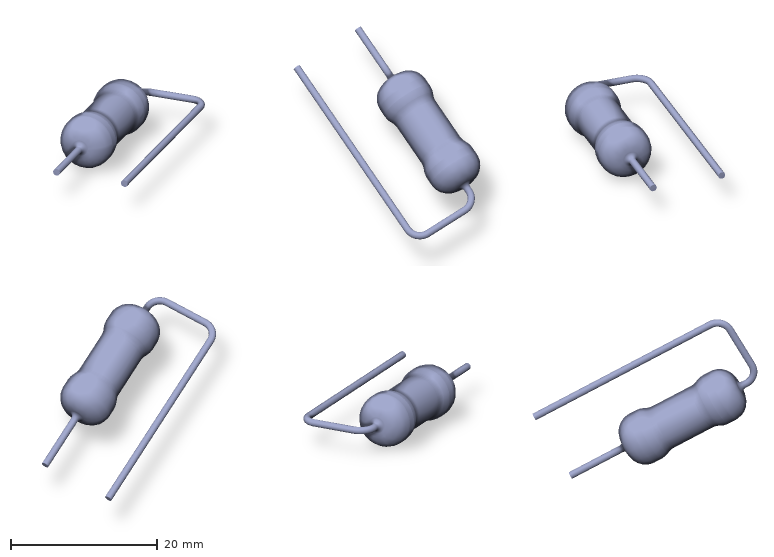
import cadquery as cq

total_length = 30.1
lead_diameter = 1.0
lead_spacing = 10.0
bend_radius = 2.0

cap_diameter = 7.5
waist_diameter = 6.38
body_length = 18.0
body_start = 8.58
end_round = 2.6
cap_straight = 1.17
shoulder_length = 2.23

lead_radius = lead_diameter / 2
cap_radius = cap_diameter / 2
waist_radius = waist_diameter / 2
collar_radius = cap_radius - end_round - lead_radius
body_middle = body_start + body_length / 2


def make_half_body():
    """Revolve the near half of the body, from its collar to mid-waist."""
    collar_start = body_start - collar_radius
    collar_outer = cap_radius - end_round
    collar_bulge = collar_radius * 0.5 ** 0.5
    round_bulge = end_round * (1 - 0.5 ** 0.5)
    round_end = body_start + end_round
    shoulder_start = round_end + cap_straight
    shoulder_end = shoulder_start + shoulder_length
    shoulder_radius = (cap_radius + waist_radius) / 2
    profile = (
        cq.Workplane("XY")
        .moveTo(0, collar_start)
        .lineTo(lead_radius, collar_start)
        .threePointArc(
            (collar_outer - collar_bulge, collar_start + collar_bulge),
            (collar_outer, body_start),
        )
        .threePointArc(
            (cap_radius - round_bulge, body_start + round_bulge),
            (cap_radius, round_end),
        )
        .lineTo(cap_radius, shoulder_start)
        .tangentArcPoint((shoulder_radius, shoulder_start + shoulder_length / 2), relative=False)
        .tangentArcPoint((waist_radius, shoulder_end), relative=False)
        .lineTo(waist_radius, body_middle)
        .lineTo(0, body_middle)
        .close()
    )
    return profile.revolve(360, (0, 0, 0), (0, 1, 0))


def make_lead():
    """Sweep the round wire through the body, across and back to Y = 0."""
    crossing = total_length - lead_radius
    bend_start = crossing - bend_radius
    bend_offset = bend_radius * (1 - 0.5 ** 0.5)
    path = (
        cq.Workplane("XY")
        .lineTo(0, bend_start)
        .threePointArc((bend_offset, crossing - bend_offset), (bend_radius, crossing))
        .lineTo(lead_spacing - bend_radius, crossing)
        .threePointArc(
            (lead_spacing - bend_offset, crossing - bend_offset),
            (lead_spacing, bend_start),
        )
        .lineTo(lead_spacing, 0)
    )
    return cq.Workplane("XZ").circle(lead_radius).sweep(path)


near_half = make_half_body()
far_half = near_half.mirror("XZ", (0, body_middle, 0))
result = near_half.union(far_half).union(make_lead())